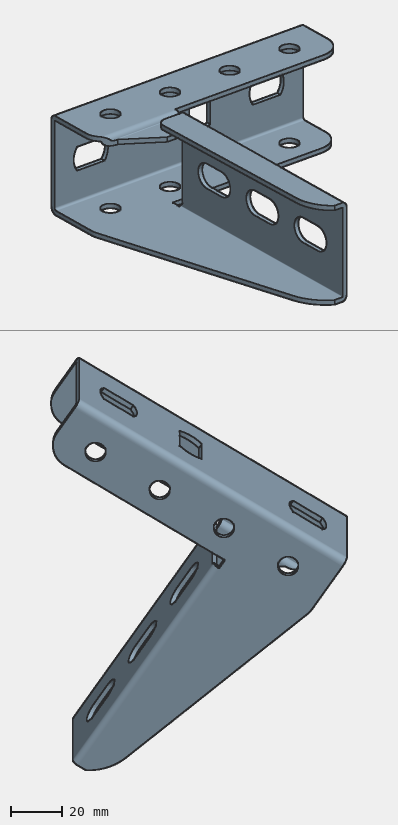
import cadquery as cq
import math

LENGTH_X = 131.4
LENGTH_Y = 125.0
HEIGHT = 43.5
SHEET = 2.1
MID_Z = HEIGHT / 2
BEND = 0.4
CHANNEL_LOWER_BEND = 1.0

FLANGE_WIDTH = 27.3
LOWER_FLANGE_WIDTH = 26.0
FLANGE_CORNER = 10.0
BOLT_DIAMETER = 8.0
BOLT_X = 14.6
BOLT_FIRST_Y = 18.0
PITCH = 30.0
BOLT_COUNT = 4

OPENING_DIAMETER = 17.2
OPENING_WIDTH = 10.4
LEVEL_OPENING_Y = 106.6
UPRIGHT_OPENING_Y = 73.0
LOWERED_OPENING_Y = 18.3
LOWERED_OPENING_DROP = 0.8

ARM_BACK_Y = 42.6
ARM_START_X = 31.4
ARM_TIP_Y = 36.4
SLOT_LENGTH = 20.0
SLOT_WIDTH = 10.9
SLOT_FIRST_X = 51.4
SLOT_COUNT = 3

LIP_START_Y = 27.7
LIP_END_X = 116.8
LIP_END_Y = 28.9
LIP_CORNER = 4.0

TAPER_ROUND_X = 25.0
TAPER_START = (27.9, 0.4)
TAPER_END = (118.3, 26.2)
LOWER_BEND_START_X = 30.2

JOGGLE_START_X = 27.6
TAB_END_X = 41.0
TAB_BACK_Y = 40.3
TAB_SIDE_Y = 25.2
TAB_CORNER_X = 30.5
TAB_CORNER = 9.0


def u_section(depth, length, lower_bend):
    """Folded U along Y with its web on X = 0 and flanges reaching to X = depth."""
    outer = cq.Workplane("XY").box(depth, length, HEIGHT, centered=False)
    outer = outer.edges("<X and >Z").fillet(BEND + SHEET)
    outer = outer.edges("<X and <Z").fillet(lower_bend + SHEET)
    inner = cq.Workplane("XY").box(depth, length, HEIGHT - 2 * SHEET, centered=False)
    inner = inner.edges("<X and >Z").fillet(BEND)
    inner = inner.edges("<X and <Z").fillet(lower_bend)
    return outer.cut(inner.translate((SHEET, 0, SHEET)))


def joggle():
    """S-bend and tab that step the upper flange down by one sheet thickness."""
    outside = BEND + SHEET
    angle = math.acos(1 - SHEET / (outside + BEND))
    run = (outside + BEND) * math.sin(angle)
    end_x = JOGGLE_START_X + run
    tab_top = HEIGHT - SHEET
    upper_centre = (JOGGLE_START_X, HEIGHT - outside)
    lower_centre = (end_x, tab_top + BEND)

    def upper_turn(radius, turn):
        return (upper_centre[0] + radius * math.sin(turn), upper_centre[1] + radius * math.cos(turn))

    def lower_turn(radius, turn):
        return (lower_centre[0] - radius * math.sin(turn), lower_centre[1] - radius * math.cos(turn))

    profile = (
        cq.Workplane("XZ")
        .moveTo(FLANGE_WIDTH, HEIGHT)
        .lineTo(JOGGLE_START_X, HEIGHT)
        .threePointArc(upper_turn(outside, angle / 2), upper_turn(outside, angle))
        .threePointArc(lower_turn(BEND, angle / 2), (end_x, tab_top))
        .lineTo(TAB_END_X, tab_top)
        .lineTo(TAB_END_X, tab_top - SHEET)
        .lineTo(end_x, tab_top - SHEET)
        .threePointArc(lower_turn(outside, angle / 2), lower_turn(outside, angle))
        .threePointArc(upper_turn(BEND, angle / 2), (JOGGLE_START_X, HEIGHT - SHEET))
        .lineTo(FLANGE_WIDTH, HEIGHT - SHEET)
        .close()
    )
    return profile.extrude(-TAB_BACK_Y)


def channel_upper_outline():
    """Plan of the channel's upper flange together with its tab."""
    diagonal = TAB_CORNER * math.sqrt(0.5)
    round_x = TAB_CORNER_X - TAB_CORNER
    return (
        cq.Workplane("XY", origin=(0, 0, MID_Z))
        .lineTo(round_x, 0)
        .threePointArc((round_x + diagonal, TAB_CORNER - diagonal), (TAB_CORNER_X, TAB_CORNER))
        .lineTo(TAB_END_X, TAB_SIDE_Y)
        .lineTo(TAB_END_X, TAB_BACK_Y)
        .lineTo(FLANGE_WIDTH, TAB_BACK_Y)
        .lineTo(FLANGE_WIDTH, LENGTH_Y - FLANGE_CORNER)
        .tangentArcPoint((FLANGE_WIDTH - FLANGE_CORNER, LENGTH_Y), relative=False)
        .lineTo(0, LENGTH_Y)
        .close()
        .extrude(MID_Z)
    )


def arm_upper_outline():
    """Plan of the arm's upper flange, with a rounded inner corner and tip."""
    outline = (
        cq.Workplane("XY", origin=(0, 0, MID_Z))
        .moveTo(ARM_START_X, ARM_BACK_Y)
        .lineTo(ARM_START_X, LIP_START_Y)
        .lineTo(LIP_END_X, LIP_END_Y)
        .tangentArcPoint((LENGTH_X, ARM_TIP_Y), relative=False)
        .lineTo(LENGTH_X, ARM_BACK_Y)
        .close()
        .extrude(MID_Z)
    )
    return outline.edges("|Z and <X and <Y").fillet(LIP_CORNER)


def lower_outline():
    """Plan of the single lower plate shared by the channel and the tapered arm."""
    bend_y = ARM_BACK_Y - SHEET - BEND
    return (
        cq.Workplane("XY")
        .lineTo(TAPER_ROUND_X, 0)
        .tangentArcPoint(TAPER_START, relative=False)
        .lineTo(*TAPER_END)
        .tangentArcPoint((LENGTH_X, ARM_TIP_Y), relative=False)
        .lineTo(LENGTH_X, ARM_BACK_Y)
        .lineTo(LOWER_BEND_START_X, ARM_BACK_Y)
        .lineTo(LOWER_BEND_START_X, bend_y)
        .lineTo(LOWER_FLANGE_WIDTH, bend_y)
        .lineTo(LOWER_FLANGE_WIDTH, LENGTH_Y - FLANGE_CORNER)
        .tangentArcPoint((LOWER_FLANGE_WIDTH - FLANGE_CORNER, LENGTH_Y), relative=False)
        .lineTo(0, LENGTH_Y)
        .close()
        .extrude(MID_Z)
    )


def wall_relief():
    """Cutter that sets the arm wall back from the start of its lower bend."""
    step = ARM_START_X - LOWER_BEND_START_X
    bend_top = SHEET + BEND
    return (
        cq.Workplane("XZ")
        .moveTo(FLANGE_WIDTH, bend_top)
        .lineTo(LOWER_BEND_START_X, bend_top)
        .lineTo(ARM_START_X, bend_top + step)
        .lineTo(ARM_START_X, MID_Z)
        .lineTo(FLANGE_WIDTH, MID_Z)
        .close()
        .extrude(-ARM_BACK_Y)
    )


def web_opening(y, z, upright=False):
    """Cutter for one flattened round opening through the channel web."""
    disc = cq.Workplane("YZ").circle(OPENING_DIAMETER / 2).extrude(2 * SHEET)
    band = cq.Workplane("YZ").rect(OPENING_DIAMETER, OPENING_WIDTH).extrude(2 * SHEET)
    opening = disc.intersect(band)
    if upright:
        opening = opening.rotate((0, 0, 0), (1, 0, 0), 90)
    return opening.translate((0, y, z))


channel = u_section(FLANGE_WIDTH, LENGTH_Y, CHANNEL_LOWER_BEND)
arm = (
    u_section(ARM_BACK_Y, LENGTH_X - FLANGE_WIDTH, BEND)
    .rotate((0, 0, 0), (0, 0, 1), -90)
    .translate((FLANGE_WIDTH, ARM_BACK_Y, 0))
)

channel_upper = channel.union(joggle()).intersect(channel_upper_outline())
arm_upper = arm.intersect(arm_upper_outline())
lower = channel.union(arm.cut(wall_relief())).intersect(lower_outline())
bracket = lower.union(channel_upper).union(arm_upper)

bolt_points = [(BOLT_X, BOLT_FIRST_Y + i * PITCH) for i in range(BOLT_COUNT)]
bracket = bracket.cut(cq.Workplane("XY").pushPoints(bolt_points).circle(BOLT_DIAMETER / 2).extrude(HEIGHT))

bracket = bracket.cut(web_opening(LEVEL_OPENING_Y, MID_Z))
bracket = bracket.cut(web_opening(UPRIGHT_OPENING_Y, MID_Z, upright=True))
bracket = bracket.cut(web_opening(LOWERED_OPENING_Y, MID_Z - LOWERED_OPENING_DROP))

slot_points = [(SLOT_FIRST_X + i * PITCH, MID_Z) for i in range(SLOT_COUNT)]
slots = cq.Workplane("XZ").pushPoints(slot_points).slot2D(SLOT_LENGTH, SLOT_WIDTH).extrude(-ARM_BACK_Y)
result = bracket.cut(slots)